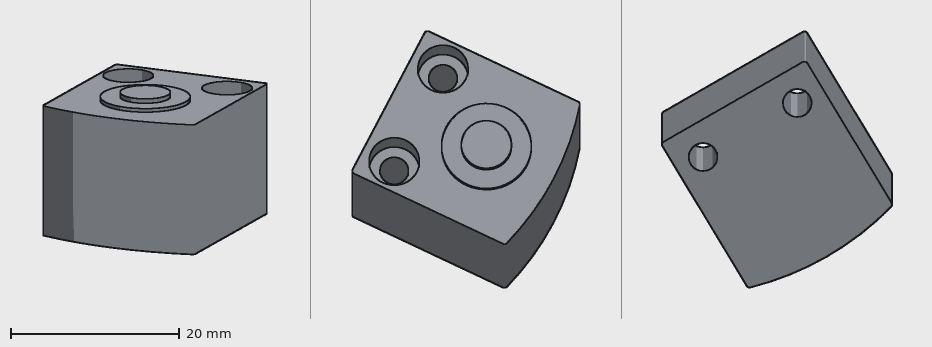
import cadquery as cq

width = 20.0
length = 21.95
block_height = 16.02
front_bulge = 1.45
corner_radius = 0.4

hole_diameter = 3.4
counterbore_diameter = 6.0
counterbore_depth = 3.4
hole_spacing = 13.0
hole_setback = 4.0

plug_setback = 13.0
flange_diameter = 10.7
button_diameter = 6.0
total_height = 17.0
flange_height = 0.44
button_height = total_height - block_height - flange_height

back_y = plug_setback
front_y = back_y - length
hole_y = back_y - hole_setback


def make_housing():
    """Block with a bowed front face and two counterbored through holes."""
    half_width = width / 2
    side_front_y = front_y + front_bulge
    block = (
        cq.Workplane("XY")
        .moveTo(-half_width, back_y)
        .lineTo(-half_width, side_front_y)
        .threePointArc((0, front_y), (half_width, side_front_y))
        .lineTo(half_width, back_y)
        .close()
        .extrude(block_height)
        .edges("|Z")
        .fillet(corner_radius)
    )
    hole_centers = [(side * hole_spacing / 2, hole_y) for side in (-1, 1)]
    return (
        block.faces(">Z")
        .workplane(origin=(0, 0, block_height))
        .pushPoints(hole_centers)
        .cboreHole(hole_diameter, counterbore_diameter, counterbore_depth)
    )


def make_plug():
    """Thin round flange with a smaller round button on it."""
    flange = (
        cq.Workplane("XY")
        .workplane(offset=block_height)
        .circle(flange_diameter / 2)
        .extrude(flange_height)
    )
    return (
        flange.faces(">Z")
        .workplane()
        .circle(button_diameter / 2)
        .extrude(button_height)
    )


housing = make_housing()
plug = make_plug()

result = cq.Compound.makeCompound([housing.val(), plug.val()])